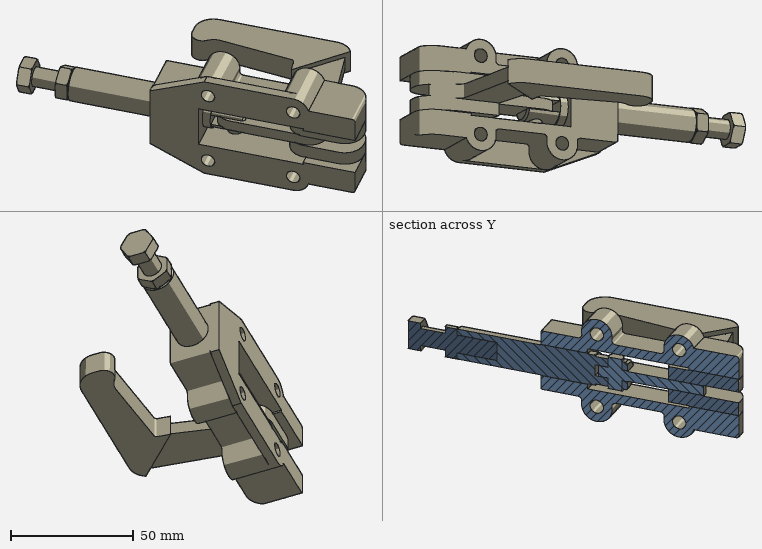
import cadquery as cq
import math


axis_y = 11.9
link_pivot_x = 91.8
lever_pivot_x = 123.7
link_thickness = 4.7
link_radius = 7.5
pin_radius = 3.2
pin_length = 14.7

housing_start = 58.8
housing_end = 146.9
housing_depth = 21.7
plate_thickness = 4.0
plate_half_height = 23.5
plate_taper_end = 82.1
block_half_height = 13.5
tail_half_height = 18.8
front_edge_radius = 0.9
tail_edge_radius = 1.3
heel_radius = 8.2
boss_radius = 6.9
boss_xs = (83.7, 120.3)
boss_z = plate_half_height - boss_radius
boss_fillet = 1.6
mount_hole_diameter = 5.7
window_start = 79.8
window_end = 124.5
window_half_height = 9.1

plunger_start = 21.6
plunger_radius = 7.0
plunger_chamfer = 0.6
fork_start = 83.1
fork_end = 97.5
fork_radius = 6.5
fork_chamfer = 0.9

head_length = 5.6
hex_across_flats = 13.0
hex_corner_chamfer = 0.5
shank_radius = 4.1
nut_start = 16.5
thread_depth = 17.6

lever_half_width = 8.2
lever_lean = math.radians(13)
lever_back = 23.0
fork_slot_floor = 20.4
base_slope_top = (132.0, lever_back)
stem_thickness = 5.9
stem_front_top = 43.3
stem_rear_top = (124.0, 58.9)
stem_rear_foot = (128.8, 26.5)
grip_thickness = 10.1
grip_start = 60.0
grip_back = 65.1
grip_round = 8.2
hook_start_y = 53.6
hook_end = (67.5, 50.1)
underside_start = (72.9, 51.7)
underside_end = (104.3, 48.2)
throat_end = (105.6, 46.5)
collar_front = (106.4, 41.5)
collar_rear = (125.7, 60.7)
shoulder = (118.4, grip_back)


def extrude_back(outline, depth):
    """Extrude an XZ outline from the mounting face towards +Y."""
    return outline.extrude(-depth)


def full_depth_box(start, end, half_height):
    """Box through the whole housing depth, symmetric about Z = 0."""
    outline = cq.Workplane("XZ").center((start + end) / 2, 0).rect(end - start, 2 * half_height)
    return extrude_back(outline, housing_depth)


def plate_half(side):
    """Mounting plate on one side of the plane of symmetry."""
    return extrude_back(
        cq.Workplane("XZ")
        .moveTo(housing_start, 0)
        .lineTo(housing_start, side * block_half_height)
        .lineTo(plate_taper_end, side * plate_half_height)
        .lineTo(boss_xs[1], side * plate_half_height)
        .lineTo(boss_xs[1], 0)
        .close(),
        plate_thickness,
    )


def make_housing():
    boss_points = [(x, side * boss_z) for x in boss_xs for side in (-1, 1)]

    block = full_depth_box(housing_start, boss_xs[1], block_half_height)
    block = block.edges("|Y and <X").fillet(front_edge_radius)
    tail = full_depth_box(boss_xs[1], housing_end, tail_half_height)
    tail = tail.edges("|Y and >X").fillet(tail_edge_radius)
    heel_corner = (
        cq.Workplane("XY")
        .moveTo(housing_end, housing_depth)
        .lineTo(housing_end, housing_depth - heel_radius)
        .radiusArc((housing_end - heel_radius, housing_depth), -heel_radius)
        .close()
        .extrude(tail_half_height, both=True)
    )
    tail = tail.cut(heel_corner)

    bosses = extrude_back(cq.Workplane("XZ").pushPoints(boss_points).circle(boss_radius), housing_depth)
    body = block.union(tail).union(bosses)
    reach = boss_fillet / 2
    blend_zone = cq.selectors.BoxSelector(
        (housing_start + boss_fillet, 0, -block_half_height - reach),
        (boss_xs[1] - reach, housing_depth, block_half_height + reach),
    )
    body = body.edges("|Y").edges(blend_zone).fillet(boss_fillet)

    for side in (-1, 1):
        body = body.union(plate_half(side))

    mount_holes = extrude_back(
        cq.Workplane("XZ").pushPoints(boss_points).circle(mount_hole_diameter / 2), housing_depth
    )
    window = full_depth_box(window_start, window_end, window_half_height)
    lever_slot = full_depth_box(window_end, housing_end, lever_half_width)
    plunger_bore = rod(housing_start, window_start, plunger_radius)
    return body.cut(mount_holes).cut(window).cut(lever_slot).cut(plunger_bore)


def axis_plane(x):
    """Plane across the plunger axis at x, facing +X."""
    return cq.Workplane("YZ", origin=(x, axis_y, 0))


def rod(start, end, radius):
    """Cylinder on the plunger axis."""
    return axis_plane(start).circle(radius).extrude(end - start)


def link_pin():
    return (
        cq.Workplane("XY").center(link_pivot_x, axis_y)
        .circle(pin_radius).extrude(pin_length / 2, both=True)
    )


def make_plunger():
    barrel = rod(plunger_start, fork_start, plunger_radius).faces("<X").chamfer(plunger_chamfer)
    fork = rod(fork_start, fork_end, fork_radius).faces(">X").chamfer(fork_chamfer)
    fork_slot = (
        axis_plane(fork_start).rect(2 * fork_radius, link_thickness).extrude(fork_end - fork_start)
    )
    thread = rod(plunger_start, plunger_start + thread_depth, shank_radius)
    return barrel.union(fork).cut(fork_slot).cut(link_pin()).cut(thread)


def hexagon(start, end, turn):
    """Hexagonal prism on the plunger axis with both ends chamfered at the corners."""
    blank_radius = hex_across_flats / math.sqrt(3)
    prism = (
        axis_plane(start).transformed(rotate=(0, 0, turn))
        .polygon(6, hex_across_flats, circumscribed=True).extrude(end - start)
    )
    turned_blank = (
        rod(start, end, blank_radius)
        .edges().chamfer(hex_corner_chamfer)
    )
    return prism.intersect(turned_blank)


def make_spindle():
    head = hexagon(0, head_length, 90)
    shank = rod(0, plunger_start + thread_depth, shank_radius)
    nut = hexagon(nut_start, plunger_start, 0)
    return head.union(shank).union(nut)


def make_link():
    span = lever_pivot_x - link_pivot_x
    bar = (
        cq.Workplane("XY").center((link_pivot_x + lever_pivot_x) / 2, axis_y)
        .slot2D(span + 2 * link_radius, 2 * link_radius).extrude(link_thickness / 2, both=True)
    )
    return bar.union(link_pin())


def make_lever():
    lever_front = axis_y - heel_radius
    heel_x = housing_end - heel_radius
    toe = (
        lever_pivot_x - heel_radius * math.cos(lever_lean),
        axis_y - heel_radius * math.sin(lever_lean),
    )

    def leaning_edge(y):
        """Point at height y on the straight edge that leaves the toe tangentially."""
        return (toe[0] - (y - toe[1]) * math.tan(lever_lean), y)

    base = (
        cq.Workplane("XY")
        .moveTo(*leaning_edge(lever_back))
        .lineTo(*toe)
        .tangentArcPoint((lever_pivot_x, lever_front), relative=False)
        .lineTo(heel_x, lever_front)
        .tangentArcPoint((housing_end, axis_y), relative=False)
        .lineTo(housing_end, housing_depth - heel_radius)
        .tangentArcPoint((heel_x, housing_depth), relative=False)
        .lineTo(*base_slope_top)
        .close()
        .extrude(lever_half_width, both=True)
    )
    fork_slot = (
        cq.Workplane("XY")
        .box(housing_end, fork_slot_floor, link_thickness, centered=(False, False, True))
    )

    stem = (
        cq.Workplane("XY")
        .moveTo(*leaning_edge(lever_back))
        .lineTo(*leaning_edge(stem_front_top))
        .lineTo(*stem_rear_top)
        .lineTo(*stem_rear_foot)
        .tangentArcPoint(base_slope_top, relative=False)
        .close()
        .extrude(stem_thickness / 2, both=True)
    )

    grip = (
        cq.Workplane("XY")
        .moveTo(grip_start, grip_back - grip_round)
        .lineTo(grip_start, hook_start_y)
        .tangentArcPoint(hook_end, relative=False)
        .tangentArcPoint(underside_start, relative=False)
        .lineTo(*underside_end)
        .tangentArcPoint(throat_end, relative=False)
        .lineTo(*collar_front)
        .lineTo(*collar_rear)
        .radiusArc(shoulder, -grip_round)
        .lineTo(grip_start + grip_round, grip_back)
        .radiusArc((grip_start, grip_back - grip_round), -grip_round)
        .close()
        .extrude(grip_thickness / 2, both=True)
    )
    return base.cut(fork_slot).union(stem).union(grip)


housing = make_housing()
plunger = make_plunger()
spindle = make_spindle()
link = make_link()
lever = make_lever()

result = cq.Compound.makeCompound(
    [housing.val(), plunger.val(), spindle.val(), link.val(), lever.val()]
)